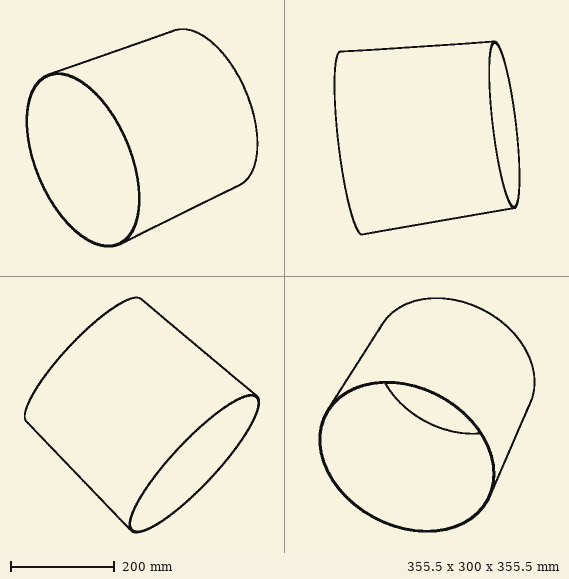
import cadquery as cq

length = 300.0
wide_diameter = 355.5
narrow_diameter = 324.0
wall = 3.0

wide_radius = wide_diameter / 2
narrow_radius = narrow_diameter / 2

wall_section = (
    cq.Workplane("XY")
    .moveTo(wide_radius - wall, 0)
    .lineTo(wide_radius, 0)
    .lineTo(narrow_radius, length)
    .lineTo(narrow_radius - wall, length)
    .close()
)

result = wall_section.revolve(360, (0, 0, 0), (0, 1, 0))